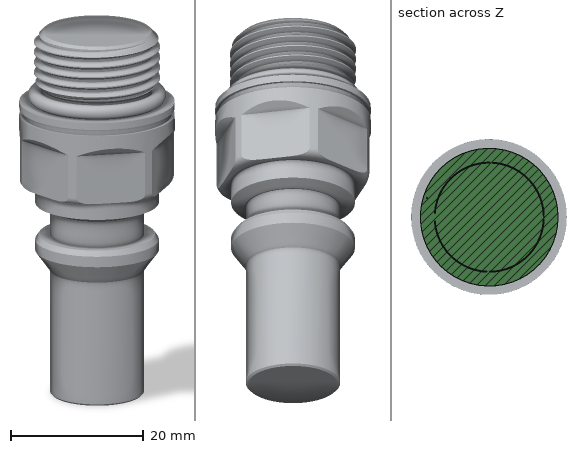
import cadquery as cq

total_height = 57.1
shank_radius = 7.15
shank_edge_chamfer = 0.3

bead_radius = 9.35
bead_rim_radius = 8.8
bead_cone_bottom = 19.5
bead_rim_bottom = 22.6
bead_rim_top = 24.25
bead_top = 25.05

collar_radius = 9.35
collar_bottom_radius = 7.35
collar_bottom = 29.25
collar_rim_bottom = 30.1

body_radius = 11.75
body_bottom = 33.0
body_top = 46.1
body_bottom_fillet = 1.0
flat_distance = 10.5
flat_count = 6
flat_top = 40.7
groove_radius = 11.3
groove_bottom = 44.0
groove_top = 45.0

ring_section_radius = 1.1
ring_centre_radius = 9.35
ring_seat_depth = 0.1

thread_root_radius = 8.6
thread_crest_radius = 9.55
thread_pitch = 1.6
thread_base_width = 1.35
thread_crest_width = 0.15
thread_end_radius = 8.2
thread_sink = 0.15
thread_bottom = body_top + 2 * ring_section_radius - ring_seat_depth


def make_turned_body():
    """Shank, bead, collar, body, relief neck and thread core as one revolved outline."""
    lower_outline = [
        (0, 0),
        (shank_radius - shank_edge_chamfer, 0),
        (shank_radius, shank_edge_chamfer),
        (shank_radius, bead_cone_bottom),
        (bead_radius, bead_rim_bottom),
        (bead_radius, bead_rim_top),
        (bead_rim_radius, bead_top),
        (shank_radius, bead_top),
        (shank_radius, collar_bottom),
        (collar_bottom_radius, collar_bottom),
        (collar_radius, collar_rim_bottom),
        (collar_radius, body_bottom),
    ]
    core_bevel = thread_root_radius - thread_end_radius
    fillet_start = body_radius - body_bottom_fillet
    upper_outline = [
        (body_radius, groove_bottom),
        (groove_radius, groove_bottom),
        (groove_radius, groove_top),
        (body_radius, groove_top),
        (body_radius, body_top),
        (thread_end_radius, body_top),
        (thread_end_radius, thread_bottom),
        (thread_root_radius, thread_bottom + core_bevel),
        (thread_root_radius, total_height - core_bevel),
        (thread_end_radius, total_height),
        (0, total_height),
    ]
    profile = cq.Workplane("XZ").polyline(lower_outline).lineTo(fillet_start, body_bottom)
    profile = profile.radiusArc((body_radius, body_bottom + body_bottom_fillet), -body_bottom_fillet)
    for point in upper_outline:
        profile = profile.lineTo(*point)
    return profile.close().revolve(360, (0, 0, 0), (0, 1, 0))


def make_flat_cutter():
    """Prism that mills one wrench flat on the +X side, with a 45 degree run-out at its top."""
    reach = 2 * (body_radius - flat_distance)
    section = [
        (flat_distance, body_bottom),
        (flat_distance, flat_top),
        (flat_distance + reach, flat_top + reach),
        (flat_distance + reach, body_bottom),
    ]
    return cq.Workplane("XZ").polyline(section).close().extrude(body_radius, both=True)


def make_seal_ring():
    """O-ring seated slightly into the top face of the body."""
    ring_height = body_top + ring_section_radius - ring_seat_depth
    section = cq.Workplane("XZ").center(ring_centre_radius, ring_height).circle(ring_section_radius)
    return section.revolve(360, (-ring_centre_radius, 0, 0), (-ring_centre_radius, 1, 0))


def make_thread_ridge():
    """Right-hand helical ridge, bevelled at both ends by the thread envelope."""
    thread_length = total_height - thread_bottom
    helix_start = thread_bottom - thread_pitch
    helix_height = thread_length + 2 * thread_pitch
    inner_radius = thread_root_radius - thread_sink
    path = cq.Wire.makeHelix(thread_pitch, helix_height, inner_radius)
    section = [
        (inner_radius, -thread_base_width / 2),
        (thread_crest_radius, -thread_crest_width / 2),
        (thread_crest_radius, thread_crest_width / 2),
        (inner_radius, thread_base_width / 2),
    ]
    ridge = cq.Workplane("XZ").polyline(section).close().sweep(cq.Workplane(path), isFrenet=True)
    bevel = thread_crest_radius - thread_end_radius + thread_sink
    envelope = (
        cq.Workplane("XY", origin=(0, 0, thread_bottom))
        .circle(thread_end_radius + bevel)
        .extrude(thread_length)
        .faces("<Z or >Z")
        .chamfer(bevel)
    )
    return ridge.translate((0, 0, helix_start)).intersect(envelope)


result = make_turned_body()
for index in range(flat_count):
    angle = index * 360 / flat_count
    result = result.cut(make_flat_cutter().rotate((0, 0, 0), (0, 0, 1), angle))
result = result.union(make_seal_ring())
result = result.union(make_thread_ridge())